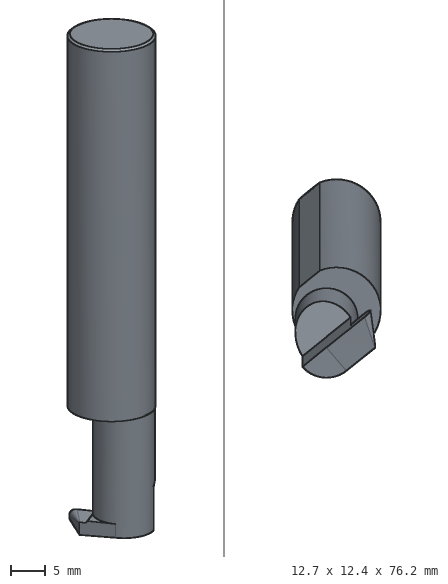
import cadquery as cq

total_length = 76.15
shank_diameter = 12.7
shank_radius = shank_diameter / 2
shoulder_z = 18.9
chamfer_height = 0.3
chamfer_width = 0.4

neck_radius = 4.5
neck_center_x = shank_radius - neck_radius
neck_bottom_z = 0.4

flat_end_z = 7.15
runout_end_z = 11.2

flat_depth = 0.3
shank_flat_y = shank_radius - flat_depth

head_depth = neck_radius
head_root_x = 1.9
root_bottom_z = 0.4
step_x = -2.5
step_run = 0.2
step_top_z = 2.5

tip_x = -shank_radius
tip_bottom_z = 0.0
tip_top_z = 2.35
tip_corner_radius = 1.15

heel_x = -3.5
heel_bottom_z = 0.2
heel_top_z = 2.2
heel_corner_radius = 0.1


def make_shank():
    """Cylinder with a chamfered top edge and a clamping flat."""
    shank = cq.Workplane("XY").workplane(offset=shoulder_z).circle(shank_radius)
    shank = shank.extrude(total_length - shoulder_z)
    shank = shank.faces(">Z").chamfer(chamfer_height, chamfer_width)
    flat_cutter = cq.Workplane("XY").box(
        shank_diameter, shank_radius, total_length, centered=(True, False, False)
    )
    return shank.cut(flat_cutter.translate((0, shank_flat_y, 0)))


def make_neck():
    """Eccentric cylinder cut back to a half round near its lower end."""
    neck = (
        cq.Workplane("XY")
        .workplane(offset=neck_bottom_z)
        .center(neck_center_x, 0)
        .circle(neck_radius)
        .extrude(shoulder_z - neck_bottom_z)
    )
    relief = (
        cq.Workplane("YZ")
        .moveTo(0, 0)
        .lineTo(0, flat_end_z)
        .lineTo(neck_radius, runout_end_z)
        .lineTo(neck_radius, 0)
        .close()
        .extrude(shank_diameter, both=True)
    )
    return neck.cut(relief)


def head_outline(y, end_x, bottom_z, top_z, corner_radius):
    """Closed head section at depth y, with two rounded corners at its free end."""
    shoulder_x = end_x + corner_radius
    outline = (
        cq.Workplane("XZ", origin=(0, y, 0))
        .moveTo(head_root_x, root_bottom_z)
        .lineTo(shoulder_x, bottom_z)
        .radiusArc((end_x, bottom_z + corner_radius), corner_radius)
        .lineTo(end_x, top_z - corner_radius)
        .radiusArc((shoulder_x, top_z), corner_radius)
        .lineTo(step_x, top_z)
        .lineTo(step_x + step_run, step_top_z)
        .lineTo(head_root_x, step_top_z)
        .close()
    )
    return outline.val()


def make_head():
    """Rounded cutting tip that tapers straight back to a square heel."""
    tip = head_outline(0, tip_x, tip_bottom_z, tip_top_z, tip_corner_radius)
    heel = head_outline(-head_depth, heel_x, heel_bottom_z, heel_top_z, heel_corner_radius)
    return cq.Workplane(cq.Solid.makeLoft([tip, heel], True))


result = make_shank().union(make_neck()).union(make_head())